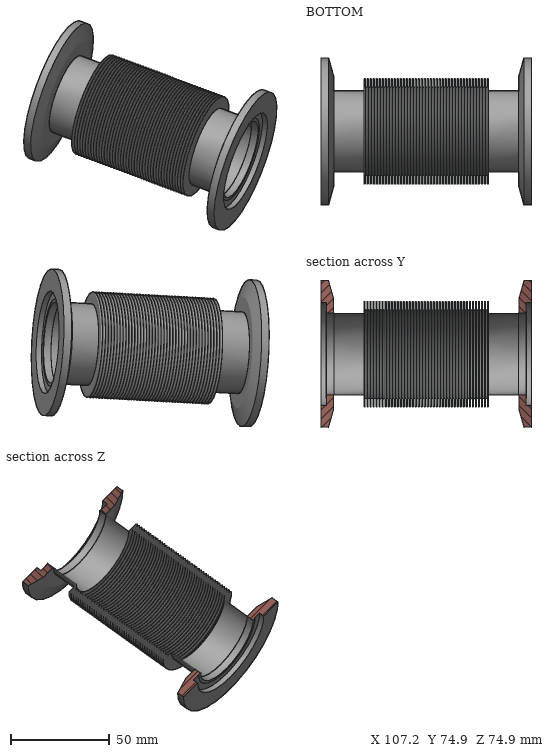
import cadquery as cq

length = 107.2

flange_diameter = 74.9
rim_width = 4.0
flange_width = 6.5
hub_radius = 28.3
flange_bore_radius = 20.7
recess_radius = 26.2
recess_depth = 2.8
lip_radius = 22.3
lip_height = 0.1

tube_radius = 20.9
bellows_length = 63.5
crest_count = 42
crest_width = 0.78
crest_radius = 27.0
root_radius = 22.6
wall = 0.1

flange_radius = flange_diameter / 2
left_face = -length / 2
left_back = left_face + flange_width
bellows_half = bellows_length / 2
pitch = (bellows_length - crest_width) / (crest_count - 1)
root_width = pitch - crest_width
crest_centre = crest_radius - crest_width / 2
root_centre = root_radius + root_width / 2
first_crest = -bellows_half + crest_width / 2


def revolve_about_x(profile):
    return profile.close().revolve(360, (0, 0, 0), (1, 0, 0))


def make_left_flange():
    """Rim with a tapered back, and a face recess with a low lip around the bore."""
    recess_floor = left_face + recess_depth
    lip_face = recess_floor - lip_height
    profile = (
        cq.Workplane("XZ")
        .moveTo(left_face, recess_radius)
        .lineTo(left_face, flange_radius)
        .lineTo(left_face + rim_width, flange_radius)
        .lineTo(left_back, hub_radius)
        .lineTo(left_back, flange_bore_radius)
        .lineTo(lip_face, flange_bore_radius)
        .lineTo(lip_face, lip_radius)
        .lineTo(recess_floor, lip_radius)
        .lineTo(recess_floor, recess_radius)
    )
    return revolve_about_x(profile)


def draw_folds(profile, direction, crest_arc, root_arc):
    """Add one side of the folded sheet to the profile.

    direction is 1 from left to right and -1 from right to left.
    crest_arc and root_arc are the arc radii on this side of the sheet.
    """
    for index in range(crest_count):
        crest = direction * (first_crest + index * pitch)
        crest_start = crest - direction * crest_arc
        crest_end = crest + direction * crest_arc
        profile = profile.lineTo(crest_start, crest_centre)
        profile = profile.threePointArc((crest, crest_centre + crest_arc), (crest_end, crest_centre))
        if index < crest_count - 1:
            root = crest + direction * pitch / 2
            root_end = root + direction * root_arc
            profile = profile.lineTo(crest_end, root_centre)
            profile = profile.threePointArc((root, root_centre - root_arc), (root_end, root_centre))
    return profile


def make_bellows():
    """Thin sheet: U-shaped folds between two plain tubes that butt against the flange backs."""
    inner_half = bellows_half - wall
    outer_crest_arc = crest_width / 2
    outer_root_arc = root_width / 2

    profile = (
        cq.Workplane("XZ")
        .moveTo(left_back, tube_radius)
        .lineTo(-bellows_half, tube_radius)
    )
    profile = draw_folds(profile, 1, outer_crest_arc, outer_root_arc)
    profile = profile.lineTo(bellows_half, tube_radius).lineTo(-left_back, tube_radius)

    profile = profile.lineTo(-left_back, flange_bore_radius).lineTo(inner_half, flange_bore_radius)
    profile = draw_folds(profile, -1, outer_crest_arc - wall, outer_root_arc + wall)
    profile = profile.lineTo(-inner_half, flange_bore_radius).lineTo(left_back, flange_bore_radius)
    return revolve_about_x(profile)


left_flange = make_left_flange()
right_flange = left_flange.mirror("YZ")
bellows = make_bellows()

result = cq.Compound.makeCompound([left_flange.val(), right_flange.val(), bellows.val()])